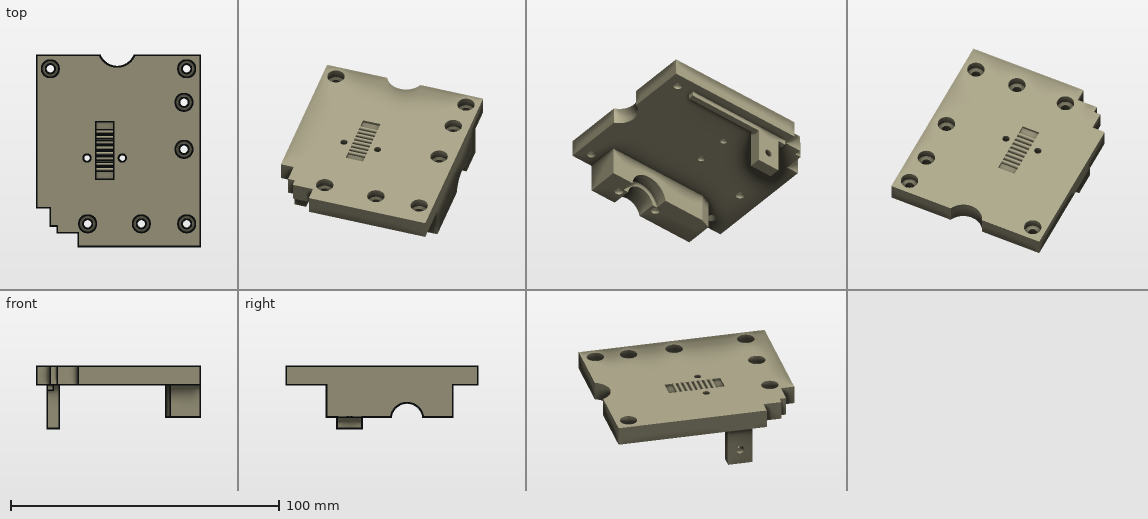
import cadquery as cq

plate_x = 61.0
plate_y = 71.36
plate_thickness = 7.0

outer_step_x, outer_step_y = 5.0, 14.4
middle_step_x, middle_step_y = 7.6, 7.6
inner_step_x, inner_step_y = 15.5, 5.1

notch_radius = 7.0
notch_depth = 4.3
notch_x = 30.0

belt_x = 25.35
belt_y = 35.8
belt_width = 6.8
belt_length = 21.4
belt_depth = 1.0
tooth_count = 8
tooth_pitch = 2.0
tooth_width = 1.38
tooth_crown_rise = 0.55
tooth_base_height = belt_depth - tooth_crown_rise
clamp_hole_diameter = 2.7
clamp_hole_spacing = 13.15
clamp_hole_y = 33.0

block_left = 48.1
block_near_y = 15.0
block_far_y = 62.1
block_height = 12.0
block_bevel_x = 1.7
block_bevel_y = 4.2
bore_y = 45.0
bore_drop = 12.75
bore_radius = 6.0
seat_radius = 8.0
seat_depth = 5.0

screw_diameter = 3.4
screw_head_diameter = 6.5
screw_head_depth = 3.3
corner_inset = 5.1
far_row_y = plate_y - corner_inset
near_row_y = 8.5
right_column_x = plate_x - corner_inset
middle_screw_x = 39.0
left_screw_x = 19.0
block_screw_x = 54.9
block_screw_spacing = 17.5
screw_positions = [
    (corner_inset, far_row_y),
    (right_column_x, far_row_y),
    (block_screw_x, bore_y + block_screw_spacing / 2),
    (block_screw_x, bore_y - block_screw_spacing / 2),
    (left_screw_x, near_row_y),
    (middle_screw_x, near_row_y),
    (right_column_x, near_row_y),
]

tab_left = 3.95
tab_thickness = 4.5
tab_near_y = 18.9
tab_far_y = 28.3
tab_height = 16.33
tab_hole_diameter = 3.0
tab_hole_y = (tab_near_y + tab_far_y) / 2
tab_hole_drop = 10.55
rib_thickness = 2.3
rib_near_y = 15.5
rib_far_y = 60.0
rib_height = 2.0


def box_between(x_range, y_range, z_range):
    """Axis-aligned box spanning the three given ranges."""
    size = [high - low for low, high in (x_range, y_range, z_range)]
    corner = (x_range[0], y_range[0], z_range[0])
    return cq.Workplane("XY").box(*size, centered=False).translate(corner)


def cylinder_along_x(radius, start_x, length, y, z):
    """Cylinder with its axis along +X."""
    return cq.Workplane(cq.Solid.makeCylinder(radius, length, cq.Vector(start_x, y, z), cq.Vector(1, 0, 0)))


def make_plate():
    outline = [
        (inner_step_x, 0),
        (plate_x, 0),
        (plate_x, plate_y),
        (0, plate_y),
        (0, outer_step_y),
        (outer_step_x, outer_step_y),
        (outer_step_x, middle_step_y),
        (middle_step_x, middle_step_y),
        (middle_step_x, inner_step_y),
        (inner_step_x, inner_step_y),
    ]
    plate = cq.Workplane("XY").polyline(outline).close().extrude(plate_thickness)
    notch_center_y = plate_y - notch_depth + notch_radius
    notch = cq.Workplane("XY").center(notch_x, notch_center_y).circle(notch_radius).extrude(plate_thickness)
    return plate.cut(notch)


def cut_screw_holes(body):
    top = cq.Workplane("XY").workplane(offset=plate_thickness)
    heads = top.pushPoints(screw_positions).circle(screw_head_diameter / 2).extrude(-screw_head_depth)
    shank_length = plate_thickness + block_height
    shanks = top.pushPoints(screw_positions).circle(screw_diameter / 2).extrude(-shank_length)
    return body.cut(heads).cut(shanks)


def make_belt_tooth():
    """Straight-sided tooth with a rounded crown, running along +X from the origin."""
    half_width = tooth_width / 2
    profile = (
        cq.Workplane("YZ")
        .moveTo(-half_width, 0)
        .lineTo(half_width, 0)
        .lineTo(half_width, tooth_base_height)
        .threePointArc((0, belt_depth), (-half_width, tooth_base_height))
        .close()
    )
    return profile.extrude(belt_width)


def add_belt_clamp(body):
    floor_z = plate_thickness - belt_depth
    left = belt_x - belt_width / 2
    near_y = belt_y - belt_length / 2
    body = body.cut(
        box_between((left, left + belt_width), (near_y, near_y + belt_length), (floor_z, plate_thickness))
    )
    first_tooth_y = belt_y - (tooth_count - 1) * tooth_pitch / 2
    for index in range(tooth_count):
        tooth_y = first_tooth_y + index * tooth_pitch
        body = body.union(make_belt_tooth().translate((left, tooth_y, floor_z)))
    hole_centers = [(belt_x + side * clamp_hole_spacing / 2, clamp_hole_y) for side in (-1, 1)]
    holes = cq.Workplane("XY").pushPoints(hole_centers).circle(clamp_hole_diameter / 2)
    return body.cut(holes.extrude(plate_thickness))


def make_bearing_block():
    outline = [
        (block_left + block_bevel_x, block_near_y),
        (plate_x, block_near_y),
        (plate_x, block_far_y),
        (block_left, block_far_y),
        (block_left, block_near_y + block_bevel_y),
    ]
    block = cq.Workplane("XY").polyline(outline).close().extrude(-block_height)
    bore = cylinder_along_x(bore_radius, block_left, plate_x - block_left, bore_y, -bore_drop)
    seat = cylinder_along_x(seat_radius, block_left, seat_depth, bore_y, -bore_drop)
    return block.cut(bore).cut(seat)


def make_tab():
    tab = box_between((tab_left, tab_left + tab_thickness), (tab_near_y, tab_far_y), (-tab_height, 0))
    hole = cylinder_along_x(tab_hole_diameter / 2, tab_left, tab_thickness, tab_hole_y, -tab_hole_drop)
    rib = box_between((tab_left, tab_left + rib_thickness), (rib_near_y, rib_far_y), (-rib_height, 0))
    return tab.cut(hole).union(rib)


body = make_plate().union(make_bearing_block()).union(make_tab())
result = add_belt_clamp(cut_screw_holes(body))